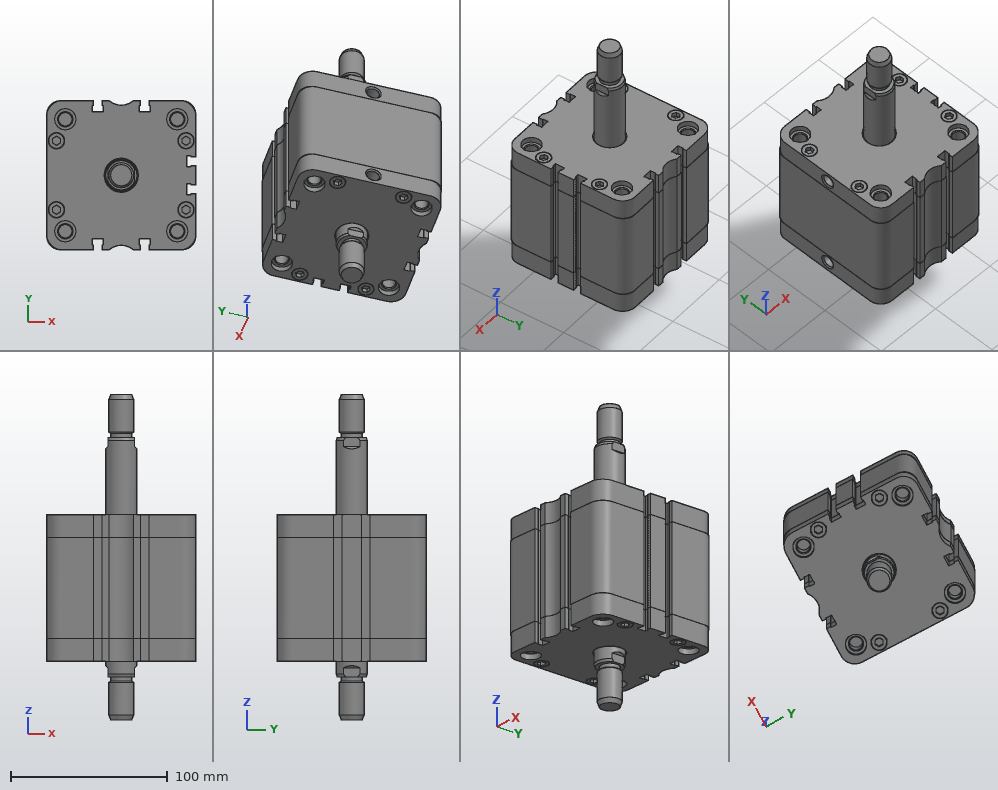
import cadquery as cq
import math

total_length = 208.0
body_length = 93.8
cap_thickness = 14.8
lower_rod_reach = 37.5
barrel_bottom = cap_thickness
barrel_length = body_length - 2 * cap_thickness
rod_bottom = -lower_rod_reach
rod_top = total_length - lower_rod_reach

barrel_width = 95.5
cap_inset = 0.1
cap_width = barrel_width - 2 * cap_inset
barrel_corner_radius = 9.2
cap_corner_radius = 10.0

slot_mouth_width = 5.6
slot_inner_width = 6.9
slot_lip_depth = 3.1
y_face_slot_depth = 7.0
x_face_slot_depth = 5.8
y_face_slot_offset = 15.0
x_face_slot_offset = 9.0
flute_half_width = 7.7
flute_depth = 3.0

rod_diameter = 20.0
thread_diameter = 16.0
neck_diameter = 13.5
thread_tip_diameter = 13.5
thread_tip_chamfer_length = 3.3
thread_length = 24.0
thread_runout_length = 1.0
shoulder_to_tip = 27.5
shoulder_chamfer_length = 1.9
shoulder_chamfer_depth = 0.6
flats_width = 17.0
flats_length = 5.8

rod_passage_diameter = 20.5
rod_passage_mouth_diameter = 21.8

mounting_hole_offset = 35.8
mounting_counterbore_diameter = 13.5
mounting_counterbore_depth = 4.0
mounting_hole_diameter = 8.5
mounting_hole_mouth_diameter = 9.8

screw_x = 41.4
screw_y = 22.0
screw_recess_diameter = 10.5
screw_head_diameter = 9.8
screw_groove_depth = 4.2
hex_across_flats = 5.0
hex_depth = 3.1

port_mouth_diameter = 10.5
port_diameter = 8.5
port_depth = 12.5
port_below_face = 7.7


def corners(x, y):
    """The four points mirrored from (x, y) about both axes."""
    return [(sx * x, sy * y) for sx in (-1, 1) for sy in (-1, 1)]


def frustum(bottom_diameter, top_diameter, height):
    """Cone frustum along +Z, standing on the XY plane."""
    return cq.Workplane(cq.Solid.makeCone(bottom_diameter / 2, top_diameter / 2, height))


def t_slot(face_distance, slot_depth, length):
    """T-slot cutter open toward +Y on a face at the given distance from the axis."""
    mouth = cq.Workplane().rect(slot_mouth_width, 2 * slot_depth)
    pocket_height = slot_depth - slot_lip_depth
    pocket_center = -slot_lip_depth - pocket_height / 2
    pocket = cq.Workplane().center(0, pocket_center).rect(slot_inner_width, pocket_height)
    return mouth.extrude(length).union(pocket.extrude(length)).translate((0, face_distance, 0))


def flute(face_distance, length):
    """Cylindrical cutter for the shallow flute on the +Y face."""
    radius = (flute_half_width**2 + flute_depth**2) / (2 * flute_depth)
    axis_y = face_distance - flute_depth + radius
    return cq.Workplane().center(0, axis_y).circle(radius).extrude(length)


def profile_block(width, corner_radius, length):
    """Square block with rounded corners, T-slots on +Y, -Y and +X, and flutes on +Y and -Y."""
    face_distance = width / 2
    block = cq.Workplane().rect(width, width).extrude(length).edges("|Z").fillet(corner_radius)
    y_face_slot = t_slot(face_distance, y_face_slot_depth, length)
    x_face_slot = t_slot(face_distance, x_face_slot_depth, length)
    groove = flute(face_distance, length)
    for turn in (0, 180):
        block = block.cut(groove.rotate((0, 0, 0), (0, 0, 1), turn))
        for side in (-1, 1):
            shifted = y_face_slot.translate((side * y_face_slot_offset, 0, 0))
            block = block.cut(shifted.rotate((0, 0, 0), (0, 0, 1), turn))
    for side in (-1, 1):
        shifted = x_face_slot.translate((side * x_face_slot_offset, 0, 0))
        block = block.cut(shifted.rotate((0, 0, 0), (0, 0, 1), -90))
    return block


def mounting_hole():
    """Cutter for a counterbored mounting hole, with the cap face at Z = 0."""
    chamfer = (mounting_hole_mouth_diameter - mounting_hole_diameter) / 2
    counterbore = cq.Workplane().circle(mounting_counterbore_diameter / 2)
    counterbore = counterbore.extrude(-mounting_counterbore_depth)
    hole = cq.Workplane().circle(mounting_hole_diameter / 2).extrude(-cap_thickness)
    mouth = frustum(mounting_hole_diameter, mounting_hole_mouth_diameter, chamfer)
    return counterbore.union(hole).union(mouth.translate((0, 0, -mounting_counterbore_depth - chamfer)))


def screw_head_cut():
    """Cutter for the ring groove and hexagon socket of a screw head, with the cap face at Z = 0."""
    ring = cq.Workplane().circle(screw_recess_diameter / 2).circle(screw_head_diameter / 2)
    hex_across_corners = hex_across_flats / math.cos(math.pi / 6)
    socket = cq.Workplane().polygon(6, hex_across_corners).extrude(-hex_depth)
    return ring.extrude(-screw_groove_depth).union(socket.rotate((0, 0, 0), (0, 0, 1), 90))


def port():
    """Cutter for the air port on the -X face of a cap that spans Z = 0 to the cap thickness."""
    chamfer = (port_mouth_diameter - port_diameter) / 2
    hole = cq.Workplane().circle(port_diameter / 2).extrude(port_depth)
    mouth = frustum(port_mouth_diameter, port_diameter, chamfer)
    along_x = hole.union(mouth).rotate((0, 0, 0), (0, 1, 0), 90)
    return along_x.translate((-cap_width / 2, 0, cap_thickness - port_below_face))


def end_cap():
    """End cap with its outer face on top, spanning Z = 0 to the cap thickness."""
    cap = profile_block(cap_width, cap_corner_radius, cap_thickness)
    passage = cq.Workplane().circle(rod_passage_diameter / 2).extrude(cap_thickness)
    chamfer = (rod_passage_mouth_diameter - rod_passage_diameter) / 2
    mouth = frustum(rod_passage_diameter, rod_passage_mouth_diameter, chamfer)
    cap = cap.cut(passage).cut(mouth.translate((0, 0, cap_thickness - chamfer)))
    for x, y in corners(mounting_hole_offset, mounting_hole_offset):
        cap = cap.cut(mounting_hole().translate((x, y, cap_thickness)))
    for x, y in corners(screw_x, screw_y):
        cap = cap.cut(screw_head_cut().translate((x, y, cap_thickness)))
    return cap.cut(port())


def barrel():
    """Barrel between the caps, bored to fit the rod."""
    block = profile_block(barrel_width, barrel_corner_radius, barrel_length)
    passage = cq.Workplane().circle(rod_diameter / 2).extrude(barrel_length)
    return block.cut(passage).translate((0, 0, barrel_bottom))


def rod_half(tip_height):
    """Half of the rod, from Z = 0 up to its threaded tip."""
    rod_radius = rod_diameter / 2
    thread_radius = thread_diameter / 2
    neck_radius = neck_diameter / 2
    shoulder = tip_height - shoulder_to_tip
    thread_start = tip_height - thread_length
    profile = (
        cq.Workplane("XZ")
        .lineTo(rod_radius, 0)
        .lineTo(rod_radius, shoulder - shoulder_chamfer_length)
        .lineTo(rod_radius - shoulder_chamfer_depth, shoulder)
        .lineTo(neck_radius, shoulder)
        .lineTo(neck_radius, thread_start - thread_runout_length)
        .lineTo(thread_radius, thread_start)
        .lineTo(thread_radius, tip_height - thread_tip_chamfer_length)
        .lineTo(thread_tip_diameter / 2, tip_height)
        .lineTo(0, tip_height)
        .close()
    )
    half = profile.revolve()
    flat_x = flats_width / 2
    ramp = rod_radius - flat_x
    flat_bottom = shoulder - flats_length
    flat_cut = (
        cq.Workplane("XZ")
        .moveTo(flat_x, shoulder)
        .lineTo(flat_x, flat_bottom)
        .lineTo(rod_radius, flat_bottom - ramp)
        .lineTo(rod_radius, shoulder)
        .close()
        .extrude(rod_radius, both=True)
    )
    return half.cut(flat_cut).cut(flat_cut.mirror("YZ"))


def piston_rod():
    """Through rod, threaded at both ends and joined at mid-height of the body."""
    middle = body_length / 2
    upper = rod_half(rod_top - middle)
    lower = rod_half(middle - rod_bottom).mirror("XY")
    return upper.union(lower).translate((0, 0, middle))


upper_cap = end_cap().translate((0, 0, body_length - cap_thickness))
lower_cap = end_cap().mirror("XY").translate((0, 0, cap_thickness))

result = cq.Compound.makeCompound(
    [barrel().val(), upper_cap.val(), lower_cap.val(), piston_rod().val()]
)